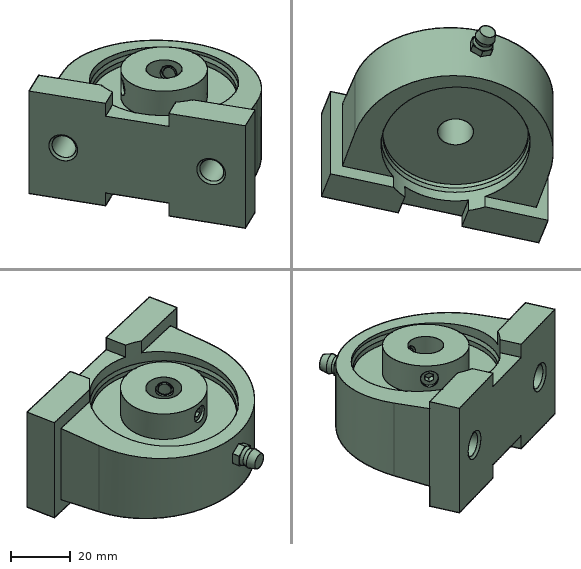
import cadquery as cq
import math


base_length = 76
base_depth = 10.95
base_height = 40.0
notch_width = 22.2
notch_depth = 5.0

body_radius = 33.9
body_top_y = 59.9
body_arc_y = body_top_y - body_radius
body_root_height = base_height - 2 * notch_depth
body_tip_height = 23.1

mount_spacing = 51.9
mount_diameter = 8.35
mount_mouth_diameter = 10.0
mount_depth = 13.7
drill_tip_angle = 118

bore_y = 30.1
seat_diameter = 49.9
face_diameter = 48.8
bearing_half_width = 7.6
seat_lip_height = 1.75
seat_taper_height = 1.45
collar_diameter = 29.0
collar_top = 18.25
shaft_diameter = 12.0

screw_diameter = 6.0
screw_z = 13.2
screw_angles = (90, 210)
screw_outer_recess = 1.15
screw_inner_gap = 0.75
screw_point_diameter = 4.4
socket_across_corners = 3.4
socket_depth = 2.65

nipple_z = 3.0
nipple_across_flats = 7.0
nipple_hex_end = 62.4
nipple_neck_y = 63.6
nipple_head_y = 65.2
nipple_tip_y = 68.1
nipple_neck_diameter = 6.0
nipple_head_diameter = 6.9
nipple_tip_diameter = 5.5
nipple_embed = 2.3


def cylinder_z(diameter, bottom, top):
    """Cylinder on the bearing axis between two heights."""
    return (
        cq.Workplane("XY", origin=(0, bore_y, bottom))
        .circle(diameter / 2)
        .extrude(top - bottom)
    )


def make_base():
    base = cq.Workplane("XY").box(base_length, base_depth, base_height, centered=(True, False, True))
    for side in (-1, 1):
        notch_z = side * (base_height - notch_depth) / 2
        notch = (
            cq.Workplane("XY", origin=(0, base_depth / 2, notch_z))
            .box(notch_width, base_depth, notch_depth)
        )
        base = base.cut(notch)
    return base


def make_body():
    """Round-topped housing whose two faces taper towards the top."""
    outline = (
        cq.Workplane("XY", origin=(0, 0, -base_height / 2))
        .moveTo(-body_radius, base_depth)
        .lineTo(-body_radius, body_arc_y)
        .threePointArc((0, body_top_y), (body_radius, body_arc_y))
        .lineTo(body_radius, base_depth)
        .close()
        .extrude(base_height)
    )
    taper = (
        cq.Workplane("YZ")
        .polyline([
            (base_depth, -body_root_height / 2),
            (body_top_y, -body_tip_height / 2),
            (body_top_y, body_tip_height / 2),
            (base_depth, body_root_height / 2),
        ])
        .close()
        .extrude(body_radius, both=True)
    )
    return outline.intersect(taper)


def make_seat_recess():
    """Upper bearing recess: a cylinder tapering down to a narrower one at the bearing face."""
    seat_radius = seat_diameter / 2
    lip_top = bearing_half_width + seat_lip_height
    taper_top = lip_top + seat_taper_height
    return (
        cq.Workplane("XZ", origin=(0, bore_y, 0))
        .moveTo(0, bearing_half_width)
        .lineTo(face_diameter / 2, bearing_half_width)
        .lineTo(face_diameter / 2, lip_top)
        .lineTo(seat_radius, taper_top)
        .lineTo(seat_radius, base_height)
        .lineTo(0, base_height)
        .close()
        .revolve(360, (0, 0), (0, 1))
    )


def make_mount_hole():
    """Drilled blind hole with a countersunk mouth, revolved about Y."""
    radius = mount_diameter / 2
    mouth_radius = mount_mouth_diameter / 2
    mouth_depth = mouth_radius - radius
    tip_length = radius / math.tan(math.radians(drill_tip_angle / 2))
    return (
        cq.Workplane("XY")
        .polyline([
            (0, 0),
            (mouth_radius, 0),
            (radius, mouth_depth),
            (radius, mount_depth),
            (0, mount_depth + tip_length),
        ])
        .close()
        .revolve(360, (0, 0), (0, 1))
    )


def make_screw_cut(angle):
    """Space left around a set screw: outer recess, hex socket and gap round its point."""
    direction = cq.Vector(math.cos(math.radians(angle)), math.sin(math.radians(angle)), 0)
    center = cq.Vector(0, bore_y, screw_z)

    def plane_at(radius):
        return cq.Workplane(cq.Plane(center + direction * radius, (0, 0, 1), direction))

    screw_head = collar_diameter / 2 - screw_outer_recess
    recess = plane_at(screw_head).circle(screw_diameter / 2).extrude(2 * screw_outer_recess)
    socket = plane_at(screw_head).polygon(6, socket_across_corners).extrude(-socket_depth)
    point_gap = (
        plane_at(0)
        .circle(screw_diameter / 2)
        .circle(screw_point_diameter / 2)
        .extrude(shaft_diameter / 2 + screw_inner_gap)
    )
    return recess.union(socket).union(point_gap)


def make_nipple():
    root_y = body_top_y - nipple_embed
    hexagon = (
        cq.Workplane("XZ", origin=(0, root_y, nipple_z))
        .polygon(6, nipple_across_flats / math.cos(math.pi / 6))
        .extrude(root_y - nipple_hex_end)
        .rotate((0, 0, nipple_z), (0, 1, nipple_z), 90)
    )
    head = (
        cq.Workplane("XY", origin=(0, 0, nipple_z))
        .polyline([
            (0, nipple_hex_end),
            (nipple_head_diameter / 2, nipple_hex_end),
            (nipple_neck_diameter / 2, nipple_neck_y),
            (nipple_head_diameter / 2, nipple_head_y),
            (nipple_tip_diameter / 2, nipple_tip_y),
            (0, nipple_tip_y),
        ])
        .close()
        .revolve(360, (0, 0), (0, 1))
    )
    return hexagon.union(head)


result = make_base().union(make_body()).union(make_nipple())

recess = make_seat_recess()
result = result.cut(recess).cut(recess.mirror("XY"))

for side in (-1, 1):
    result = result.cut(make_mount_hole().translate((side * mount_spacing / 2, 0, 0)))

result = result.union(cylinder_z(collar_diameter, 0, collar_top))
result = result.cut(cylinder_z(shaft_diameter, -base_height, base_height))

for screw_angle in screw_angles:
    result = result.cut(make_screw_cut(screw_angle))